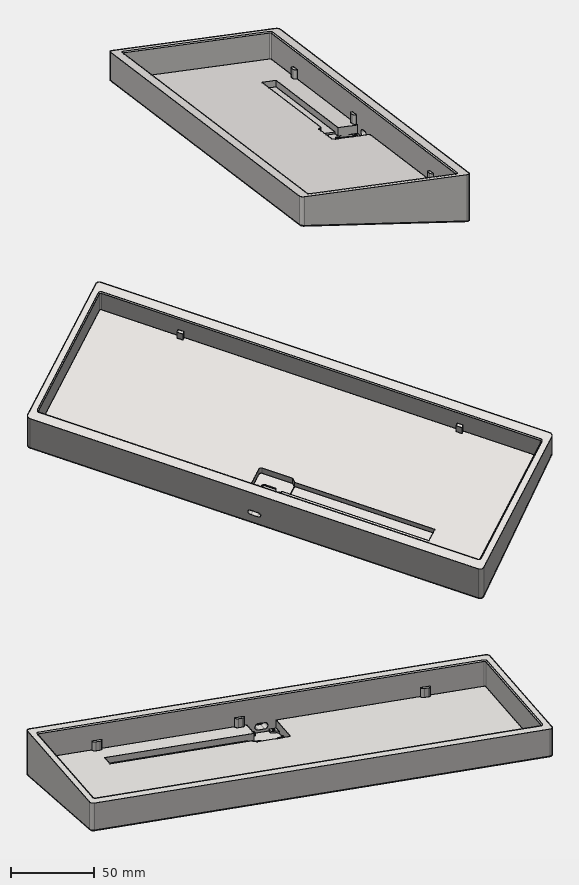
import cadquery as cq

length = 295.7
width = 110.3
back_height = 30.2
front_height = 18.5
corner_radius = 2.5
bottom_chamfer = 0.75

side_wall = 4.7
end_wall = 7.0
cavity_depth = 17.2
cavity_corner_radius = 1.0
rim_chamfer = 0.75

floor_z = back_height - cavity_depth
cavity_length = length - 2 * side_wall
cavity_width = width - 2 * end_wall
cavity_back = cavity_width / 2

back_tab_width = 6.2
front_tab_width = 3.8
tab_reach = 2.0
tab_height = 6.0
tab_corner_radius = 1.8
back_tab_positions = (-105.3, -14.2, 104.7)
front_tab_positions = (-90.5, 90.5)

pocket_width = 19.0
pocket_length = 24.2
pocket_depth = 5.3
pocket_corner_radius = 1.5

slot_left = -105.0
slot_inset = 12.7
slot_back = cavity_back - slot_inset
slot_width = 9.2
slot_depth = 4.0
mouth_left = -14.0
mouth_chamfer = 2.0

recess_length = 17.2
recess_depth = 1.2
pad_width = 4.7
pad_length = 3.8
recess_corner_radius = 1.8
screw_spacing_x = 14.2
screw_spacing_y = 12.5
screw_inset = 2.0
screw_hole_diameter = 1.6
screw_hole_depth = 3.0

port_width = 8.3
port_height = 4.0
port_drop = 2.7

pocket_floor_z = floor_z - pocket_depth
recess_floor_z = pocket_floor_z - recess_depth


def block(x_min, x_max, y_min, y_max, z_min, z_max):
    """Rectangular block between the given limits."""
    size = (x_max - x_min, y_max - y_min, z_max - z_min)
    return cq.Workplane("XY").box(*size, centered=False).translate((x_min, y_min, z_min))


def make_body():
    """Wedge with rounded upright corners and a chamfered sloping underside."""
    profile = [
        (-width / 2, back_height),
        (width / 2, back_height),
        (width / 2, 0),
        (-width / 2, back_height - front_height),
    ]
    wedge = cq.Workplane("YZ").polyline(profile).close().extrude(length / 2, both=True)
    return wedge.edges("|Z").fillet(corner_radius).faces("<Z").chamfer(bottom_chamfer)


def make_cavity():
    """Main opening with rounded corners."""
    opening = block(
        -cavity_length / 2, cavity_length / 2, -cavity_back, cavity_back, floor_z, back_height
    )
    return opening.edges("|Z").fillet(cavity_corner_radius)


def make_back_tab(x):
    """Tab with rounded corners on the back wall."""
    half = back_tab_width / 2
    wall = cavity_back
    tab = block(x - half, x + half, wall - tab_reach, wall, floor_z, floor_z + tab_height)
    return tab.edges("|Z and <Y").fillet(tab_corner_radius)


def make_front_tab(x):
    """Square-cornered tab on the front wall."""
    half = front_tab_width / 2
    wall = -cavity_back
    return block(x - half, x + half, wall, wall + tab_reach, floor_z, floor_z + tab_height)


def make_pocket():
    """Board pocket and its wider mouth."""
    half = pocket_width / 2
    front = cavity_back - pocket_length
    main = block(-half, half, front, cavity_back, pocket_floor_z, floor_z)
    main = main.edges("|Z and >X and <Y").fillet(pocket_corner_radius)
    mouth = block(mouth_left, 0, front, slot_back, pocket_floor_z, floor_z)
    mouth = mouth.edges("|Z and <X and <Y").chamfer(mouth_chamfer)
    return main.union(mouth)


def make_slot():
    """Straight cable slot running into the pocket mouth."""
    slot_front = slot_back - slot_width
    return block(slot_left, mouth_left, slot_front, slot_back, floor_z - slot_depth, floor_z)


def make_recess():
    """Recess below the pocket floor, leaving the four corner pads standing."""
    half = pocket_width / 2
    middle = half - pad_width
    front = cavity_back - recess_length
    side_front = slot_back
    side_back = cavity_back - pad_length
    lengthways = block(-middle, middle, front, cavity_back, recess_floor_z, pocket_floor_z)
    crossways = block(-half, half, side_front, side_back, recess_floor_z, pocket_floor_z)
    return lengthways.union(crossways).edges("|Z and (not >Y)").fillet(recess_corner_radius)


def make_screw_holes():
    """Blind screw hole in each corner pad."""
    centre_y = cavity_back - screw_inset - screw_spacing_y / 2
    pads = cq.Workplane("XY", origin=(0, centre_y, pocket_floor_z))
    holes = pads.rarray(screw_spacing_x, screw_spacing_y, 2, 2).circle(screw_hole_diameter / 2)
    return holes.extrude(-screw_hole_depth)


def make_port():
    """Round-ended opening through the back wall."""
    outside = cq.Workplane("XZ", origin=(0, width / 2, floor_z - port_drop))
    return outside.slot2D(port_width, port_height).extrude(end_wall)


inner_rim = cq.selectors.BoxSelector(
    (-cavity_length / 2 - side_wall / 2, -cavity_back - end_wall / 2, floor_z),
    (cavity_length / 2 + side_wall / 2, cavity_back + end_wall / 2, back_height + rim_chamfer),
)

result = make_body().cut(make_cavity())
result = result.faces(">Z").edges(inner_rim).chamfer(rim_chamfer)
for tab_x in back_tab_positions:
    result = result.union(make_back_tab(tab_x))
for tab_x in front_tab_positions:
    result = result.union(make_front_tab(tab_x))
result = result.cut(make_pocket()).cut(make_slot()).cut(make_recess())
result = result.cut(make_screw_holes()).cut(make_port())